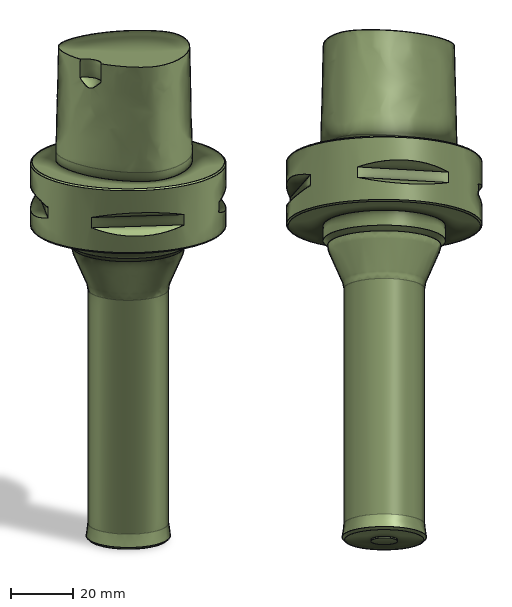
import cadquery as cq
import math

total_height = 165.0
taper_start_height = 129.9
flange_top = 126.9
flange_bottom = 105.1
joint_height = 98.7
shoulder_end = 95.7
cone_end = 86.6
shank_top = 84.2
flare_top = 5.6
rim_top = 1.3
tip_face = 0.5

flange_diameter = 63.0
neck_diameter = 39.5
arbor_head_diameter = 36.5
cone_top_diameter = 35.0
shank_diameter = 26.0
cone_end_diameter = 27.0
rim_diameter = 27.2
tip_pad_diameter = 8.5

flange_chamfer = 0.5
neck_chamfer = (neck_diameter - arbor_head_diameter) / 2
rim_chamfer = rim_top - tip_face

lobe_diameter = 44.0
lobe_eccentricity = 1.5
lobe_curve_points = 48
diameter_taper = 0.05
lobe_top_diameter = lobe_diameter - diameter_taper * (total_height - taper_start_height)

groove_count = 4
groove_first_angle = 45.0
groove_floor_distance = 27.7
groove_middle_height = 115.0
groove_floor_width = 3.5
groove_clearance = 1.6
groove_side_angle = 30.0

notch_radius = 5.3
notch_axis_y = -22.5
notch_depth = 6.1
notch_point_height = notch_radius


def lobed_wire(diameter, height):
    """Closed curve of constant width with one lobe pointing to +Y."""
    radius = diameter / 2
    e = lobe_eccentricity

    def point(t):
        angle = 2 * math.pi * t
        along = radius * math.cos(angle) + 2 * e * math.cos(2 * angle) - e * math.cos(4 * angle)
        across = radius * math.sin(angle) - 2 * e * math.sin(2 * angle) - e * math.sin(4 * angle)
        return (-across, along, height)

    points = [cq.Vector(*point(index / lobe_curve_points)) for index in range(lobe_curve_points)]
    return cq.Wire.assembleEdges([cq.Edge.makeSpline(points, periodic=True)])


def make_lobed_shank():
    base = lobed_wire(lobe_diameter, flange_top)
    taper_start = lobed_wire(lobe_diameter, taper_start_height)
    top = lobed_wire(lobe_top_diameter, total_height)
    return cq.Workplane(cq.Solid.makeLoft([base, taper_start, top], True))


def make_notch():
    """Vertical round cutter with a conical lower end."""
    shoulder = total_height - notch_depth
    return (
        cq.Workplane("XZ", origin=(0, notch_axis_y, 0))
        .moveTo(0, shoulder - notch_point_height)
        .lineTo(notch_radius, shoulder)
        .lineTo(notch_radius, total_height)
        .lineTo(0, total_height)
        .close()
        .revolve(360, (0, 0, 0), (0, 1, 0))
    )


def make_groove(angle):
    """Straight groove with a flat floor and sides opening outwards."""
    outer_distance = flange_diameter / 2 + groove_clearance
    middle = groove_middle_height
    half_floor = groove_floor_width / 2
    flare = (outer_distance - groove_floor_distance) * math.tan(math.radians(groove_side_angle))
    half_mouth = half_floor + flare
    return (
        cq.Workplane("XZ")
        .polyline([
            (groove_floor_distance, middle - half_floor),
            (outer_distance, middle - half_mouth),
            (outer_distance, middle + half_mouth),
            (groove_floor_distance, middle + half_floor),
        ])
        .close()
        .extrude(flange_diameter / 2, both=True)
        .rotate((0, 0, 0), (0, 0, 1), angle)
    )


def make_holder():
    flange = (
        cq.Workplane("XY", origin=(0, 0, flange_bottom))
        .circle(flange_diameter / 2)
        .extrude(flange_top - flange_bottom)
        .edges()
        .chamfer(flange_chamfer)
    )
    neck = (
        cq.Workplane("XY", origin=(0, 0, joint_height))
        .circle(neck_diameter / 2)
        .extrude(flange_bottom - joint_height)
        .faces("<Z")
        .chamfer(neck_chamfer)
    )
    body = flange.union(neck).union(make_lobed_shank()).cut(make_notch())
    for index in range(groove_count):
        body = body.cut(make_groove(groove_first_angle + index * 360 / groove_count))
    return body


def make_arbor():
    """Turned arbor: smoothly curved conical shoulder, shank, flared rim and tip pad."""
    shoulder_points = [
        (cone_top_diameter / 2, shoulder_end),
        (cone_end_diameter / 2, cone_end),
        (shank_diameter / 2, shank_top),
    ]
    down = (0, -1)
    return (
        cq.Workplane("XZ")
        .moveTo(0, joint_height)
        .lineTo(arbor_head_diameter / 2, joint_height)
        .spline(shoulder_points, tangents=[down, down], includeCurrent=True)
        .lineTo(shank_diameter / 2, flare_top)
        .lineTo(rim_diameter / 2, rim_top)
        .lineTo(rim_diameter / 2 - rim_chamfer, tip_face)
        .lineTo(tip_pad_diameter / 2, tip_face)
        .lineTo(tip_pad_diameter / 2, 0)
        .lineTo(0, 0)
        .close()
        .revolve(360, (0, 0, 0), (0, 1, 0))
    )


holder = make_holder()
arbor = make_arbor()

result = cq.Compound.makeCompound([holder.solids().val(), arbor.val()])